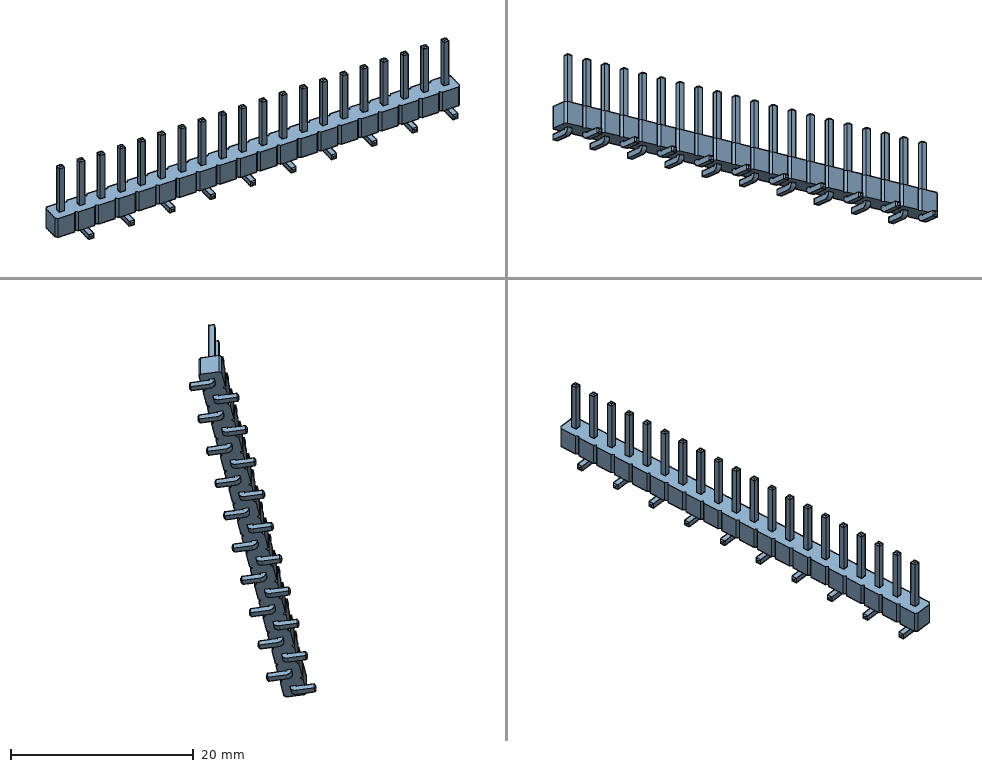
import cadquery as cq

pin_count = 20
pitch = 2.54
row_length = pin_count * pitch

housing_width = pitch
housing_height = pitch
housing_chamfer = pitch / 10

overall_height = 9.3
foot_span = 5.0
pin_exposed_height = 6.0
pin_size = 0.64
tip_chamfer = pin_size / 4
bend_radius = pin_size

housing_top = overall_height - pin_exposed_height
housing_bottom = housing_top - housing_height
foot_reach = foot_span / 2


def make_housing_block(y):
    """One block with chamfered vertical edges, centred on its pin."""
    return (
        cq.Workplane("XY", origin=(0, y, housing_bottom))
        .rect(housing_width, pitch)
        .extrude(housing_height)
        .edges("|Z")
        .chamfer(housing_chamfer)
    )


def make_pin(y, foot_direction):
    """An L-shaped pin: upright post plus a foot along +X (1) or -X (-1)."""
    post = (
        cq.Workplane("XY", origin=(0, y, 0))
        .rect(pin_size, pin_size)
        .extrude(overall_height)
        .faces(">Z")
        .chamfer(tip_chamfer)
    )
    foot_start = -pin_size / 2
    foot_length = foot_reach - foot_start
    foot = (
        cq.Workplane("XY", origin=(foot_start + foot_length / 2, y, pin_size / 2))
        .box(foot_length, pin_size, pin_size)
        .faces(">X")
        .chamfer(tip_chamfer)
    )
    heel = cq.selectors.NearestToPointSelector((foot_start, y, 0))
    pin = post.union(foot).edges(heel).fillet(bend_radius)
    if foot_direction < 0:
        pin = pin.mirror("YZ")
    return pin


result = cq.Workplane("XY")
for index in range(pin_count):
    pin_y = (index + 0.5) * pitch - row_length / 2
    foot_direction = -1 if index % 2 == 0 else 1
    result = result.union(make_housing_block(pin_y))
    result = result.union(make_pin(pin_y, foot_direction))
result = result.clean()